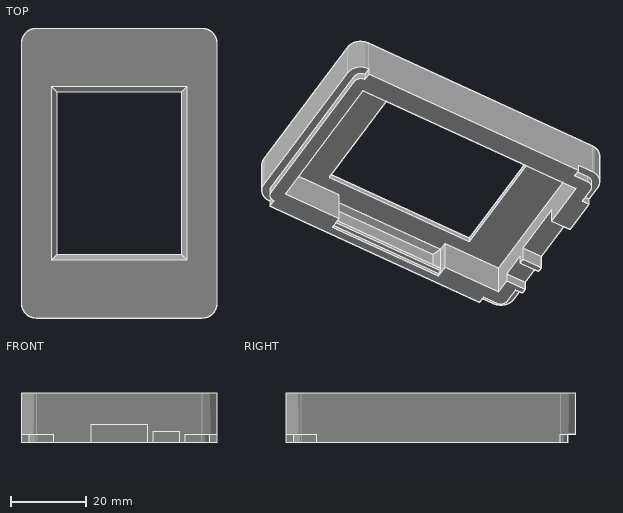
import cadquery as cq

WIDTH = 52.0
LENGTH = 77.0
HEIGHT = 13.2
CORNER_RADIUS = 4.0

LID_THICKNESS = 3.1
WINDOW_WIDTH = 33.0
WINDOW_LENGTH = 43.1
WINDOW_BEVEL = 1.5

WALL = 5.7
CAVITY_HEIGHT = HEIGHT - LID_THICKNESS
CAVITY_WIDTH = WIDTH - 2 * WALL
CAVITY_LENGTH = LENGTH - 2 * WALL

RECESS_HEIGHT = 2.2
LIP_INSET = 2.1
LIP_RADIUS = 2.1
CORNER_RECESS_WIDTH = 8.5
CORNER_RECESS_LENGTH = 8.2
END_RECESS_LENGTH = LIP_INSET + LIP_RADIUS

LARGE_PORT = (0.0, 15.0, 4.8)
SMALL_PORT = (12.5, 7.0, 3.0)

RELIEF_DEPTH = 2.3
RELIEF_LENGTH = 32.6
SILL_BOTTOM = 1.0
RABBET_DEPTH = 1.15
GROOVE_BOTTOM = 2.1
GROOVE_DEPTH = 1.5


def block(x_min, x_max, y_min, y_max, z_min, z_max):
    """Axis-aligned box between the given limits."""
    size = (x_max - x_min, y_max - y_min, z_max - z_min)
    return cq.Workplane("XY").box(*size, centered=False).translate((x_min, y_min, z_min))


def centred_block(width, length, height):
    """Box centred in X and Y that stands on Z = 0."""
    return cq.Workplane("XY").box(width, length, height, centered=(True, True, False))


def make_body():
    return centred_block(WIDTH, LENGTH, HEIGHT).edges("|Z").fillet(CORNER_RADIUS)


def make_window():
    """Straight opening through the lid, widened at 45 degrees toward the top."""
    opening = centred_block(WINDOW_WIDTH, WINDOW_LENGTH, HEIGHT)
    bevel = (
        cq.Workplane("XY")
        .workplane(offset=HEIGHT - WINDOW_BEVEL)
        .rect(WINDOW_WIDTH, WINDOW_LENGTH)
        .workplane(offset=WINDOW_BEVEL)
        .rect(WINDOW_WIDTH + 2 * WINDOW_BEVEL, WINDOW_LENGTH + 2 * WINDOW_BEVEL)
        .loft(ruled=True)
    )
    return opening.union(bevel)


def make_rim_recesses():
    """Recesses at both -Y corners and along the +Y end, outside the locating lip."""
    half_width = WIDTH / 2
    half_length = LENGTH / 2
    recesses = block(-half_width, half_width, half_length - END_RECESS_LENGTH, half_length, 0, RECESS_HEIGHT)
    corner_y = -half_length + CORNER_RECESS_LENGTH
    corner_x = half_width - CORNER_RECESS_WIDTH
    for x_min, x_max in ((-half_width, -corner_x), (corner_x, half_width)):
        recesses = recesses.union(block(x_min, x_max, -half_length, corner_y, 0, RECESS_HEIGHT))
    lip = centred_block(WIDTH - 2 * LIP_INSET, LENGTH - 2 * LIP_INSET, RECESS_HEIGHT)
    return recesses.cut(lip.edges("|Z").fillet(LIP_RADIUS))


def make_port(centre_x, width, height):
    """Rectangular opening through the -Y wall, open at the underside."""
    x_min = centre_x - width / 2
    return block(x_min, x_min + width, -LENGTH / 2, -CAVITY_LENGTH / 2, 0, height)


def make_wall_relief():
    """Thinned stretch of the +X wall with a bottom rabbet and a groove with 45 degree flanks."""
    half_length = RELIEF_LENGTH / 2
    inner_x = CAVITY_WIDTH / 2
    face_x = inner_x + RELIEF_DEPTH
    relief = block(inner_x, face_x, -half_length, half_length, 0, CAVITY_HEIGHT)
    rabbet = block(face_x, face_x + RABBET_DEPTH, -half_length, half_length, 0, SILL_BOTTOM)
    groove_height = CAVITY_HEIGHT - GROOVE_BOTTOM
    groove = (
        cq.Workplane("YZ")
        .workplane(offset=face_x)
        .center(0, GROOVE_BOTTOM + groove_height / 2)
        .rect(RELIEF_LENGTH, groove_height)
        .workplane(offset=GROOVE_DEPTH)
        .rect(RELIEF_LENGTH - 2 * GROOVE_DEPTH, groove_height - 2 * GROOVE_DEPTH)
        .loft(ruled=True)
    )
    return relief.union(rabbet).union(groove)


result = make_body()
result = result.cut(centred_block(CAVITY_WIDTH, CAVITY_LENGTH, CAVITY_HEIGHT))
result = result.cut(make_window())
result = result.cut(make_rim_recesses())
for port in (LARGE_PORT, SMALL_PORT):
    result = result.cut(make_port(*port))
result = result.cut(make_wall_relief())